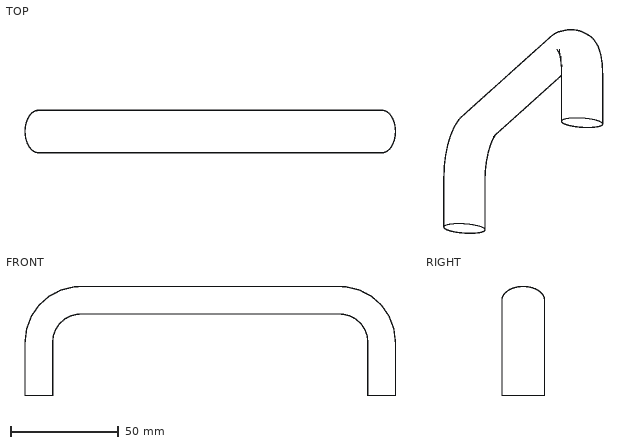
import cadquery as cq

leg_spacing = 160.0
height = 51.0
section_thickness = 13.0
section_width = 20.0
bend_radius = 19.5
bend_angle = 90.0

leg_x = leg_spacing / 2
grip_z = height - section_thickness / 2
bend_start_x = leg_x - bend_radius
bend_start_z = grip_z - bend_radius


def oval_section(workplane):
    """Elliptical bar section with its short axis along the workplane's local X."""
    return workplane.ellipse(section_thickness / 2, section_width / 2)


def make_leg(side):
    """Straight leg standing on the mounting face; side is -1 (left) or 1 (right)."""
    base = cq.Workplane("XY").center(side * leg_x, 0)
    return oval_section(base).extrude(bend_start_z)


def make_bend(side):
    """Quarter-turn corner joining a leg to the grip."""
    base = cq.Workplane("XY", origin=(side * leg_x, 0, bend_start_z))
    axis_start = (-side * bend_radius, 0)
    axis_end = (-side * bend_radius, -side)
    return oval_section(base).revolve(bend_angle, axis_start, axis_end)


def make_grip():
    """Straight horizontal bar between the two corners."""
    base = cq.Workplane("ZY", origin=(bend_start_x, 0, grip_z))
    return oval_section(base).extrude(2 * bend_start_x)


result = make_grip()
for side in (-1, 1):
    result = result.union(make_bend(side)).union(make_leg(side))